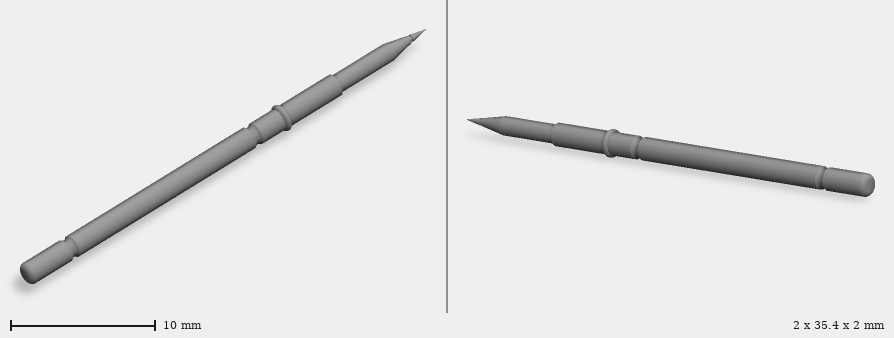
import cadquery as cq

TOTAL_LENGTH = 35.4
FULL_TURN = 360

BARREL_RADIUS = 0.825
TAIL_FILLET = 0.4

RING_RADIUS = 1.0
RING_WIDTH = 0.5
RING_TO_TIP = 12.75

GROOVE_WIDTH = 0.62
GROOVE_DEPTH = 0.15
GROOVES_TO_TIP = (15.32, 31.52)

PLUNGER_RADIUS = 0.675
CONE_END_RADIUS = 0.3
NEEDLE_BASE_RADIUS = 0.275
NEEDLE_TIP_RADIUS = 0.02
NEEDLE_LENGTH = 1.3
NECK_RADIUS = 0.2
NECK_TO_TIP = 1.5
CONE_TO_TIP = 3.35
PLUNGER_LENGTH = 8.0


def from_tip(distance):
    """Y position at a given distance behind the needle tip."""
    return TOTAL_LENGTH - distance


def revolve_about_y(profile):
    return profile.close().revolve(FULL_TURN, (0, 0, 0), (0, 1, 0))


def make_barrel():
    barrel_length = from_tip(PLUNGER_LENGTH)
    barrel = cq.Workplane("XZ").circle(BARREL_RADIUS).extrude(-barrel_length)
    return barrel.faces("<Y").edges().fillet(TAIL_FILLET)


def make_plunger():
    profile = (
        cq.Workplane("XY")
        .moveTo(0, from_tip(PLUNGER_LENGTH))
        .lineTo(PLUNGER_RADIUS, from_tip(PLUNGER_LENGTH))
        .lineTo(PLUNGER_RADIUS, from_tip(CONE_TO_TIP))
        .lineTo(CONE_END_RADIUS, from_tip(NECK_TO_TIP))
        .lineTo(NECK_RADIUS, from_tip(NECK_TO_TIP))
        .lineTo(NECK_RADIUS, from_tip(NEEDLE_LENGTH))
        .lineTo(NEEDLE_BASE_RADIUS, from_tip(NEEDLE_LENGTH))
        .lineTo(NEEDLE_TIP_RADIUS, TOTAL_LENGTH)
        .lineTo(0, TOTAL_LENGTH)
    )
    return revolve_about_y(profile)


def make_ring():
    """Ring with a half-round rim."""
    rim_radius = RING_WIDTH / 2
    shoulder_radius = RING_RADIUS - rim_radius
    center = from_tip(RING_TO_TIP)
    profile = (
        cq.Workplane("XY")
        .moveTo(0, center - rim_radius)
        .lineTo(shoulder_radius, center - rim_radius)
        .threePointArc((RING_RADIUS, center), (shoulder_radius, center + rim_radius))
        .lineTo(0, center + rim_radius)
    )
    return revolve_about_y(profile)


def make_groove(distance_to_tip):
    """Ring of circular-arc section to remove from the barrel."""
    center = from_tip(distance_to_tip)
    half_width = GROOVE_WIDTH / 2
    profile = (
        cq.Workplane("XY")
        .moveTo(BARREL_RADIUS, center - half_width)
        .threePointArc((BARREL_RADIUS - GROOVE_DEPTH, center), (BARREL_RADIUS, center + half_width))
    )
    return revolve_about_y(profile)


result = make_barrel().union(make_plunger()).union(make_ring())
for groove_distance in GROOVES_TO_TIP:
    result = result.cut(make_groove(groove_distance))